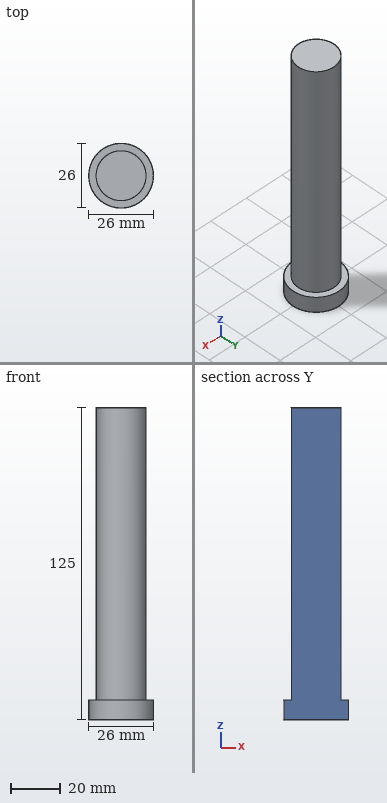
import cadquery as cq

total_length = 125.0
head_diameter = 26.0
head_height = 8.0
shank_diameter = 20.0

head = cq.Workplane("XY").circle(head_diameter / 2).extrude(head_height)

shank = (
    cq.Workplane("XY")
    .workplane(offset=head_height)
    .circle(shank_diameter / 2)
    .extrude(total_length - head_height)
)

result = head.union(shank)